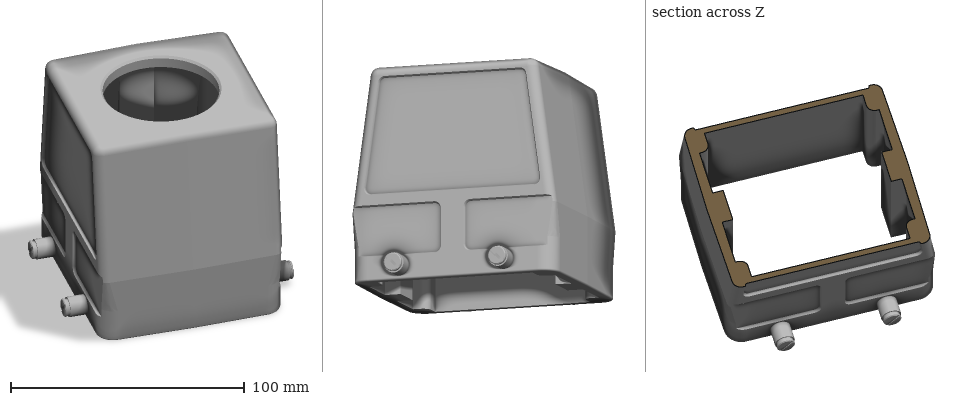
import cadquery as cq
import math

length = 94.0
half_length = length / 2
half_width = 41.2
height = 93.5
knee_z = 30.1
blend_start_z = 15.1
lean_angle = 7.9
crown_angle = 1.0
foot_corner_radius = 7.7
upper_corner_radius = 4.0
roof_flat_half_width = 28.7
base_radius = 0.8

wall = 4.1
roof_thickness = 5.3
inner_face_x = 35.2
column_face_y = 28.2
column_radius = 3.6
rib_half_width = 7.7

entry_diameter = 50.0
entry_chamfer = 0.9

panel_depth = 1.2
panel_draft = 27
panel_corner_radius = 3.0
large_panel_bottom_z = 37.5
large_panel_top_z = 88.9
large_panel_bottom_half_length = 40.4
small_panel_bottom_z = 10.7
small_panel_top_z = 33.0
small_panel_inner_x = 5.2

pin_x = 23.7
pin_z = 5.9
pin_end_y = 51.2
pin_radius = 4.4
pin_neck_radius = 3.8
pin_tip_radius = 4.0
pin_tip_length = 0.9
pin_neck_length = 1.2
pin_root_chamfer = 0.4
pin_tip_chamfer = 0.4
pin_embed = 1.5
slot_angle = 45
slot_width = 1.2
slot_depth = 0.3

selection_margin = 1

lean = math.tan(math.radians(lean_angle))
crown = math.tan(math.radians(crown_angle))
ridge_z = height + roof_flat_half_width * crown


def crowned_outline(z, middle_half_length):
    """Closed horizontal outline: straight long sides and peaked ends."""
    corner_x = middle_half_length - half_width * crown
    points = [
        (middle_half_length, 0),
        (corner_x, half_width),
        (-corner_x, half_width),
        (-middle_half_length, 0),
        (-corner_x, -half_width),
        (corner_x, -half_width),
    ]
    return cq.Wire.makePolygon([cq.Vector(x, y, z) for x, y in points], close=True)


def round_corners(outline, radius):
    corners = [v for v in outline.Vertices() if abs(v.Y) > half_width / 2]
    return outline.fillet2D(radius, corners)


def wall_point(side, y, z):
    """Corner of the upper part on the end wall facing side (-1 or 1) along X."""
    x = half_length - abs(y) * crown - (z - knee_z) * lean
    return cq.Vector(side * x, y, z)


def make_upper_body():
    """Leaning part above the knee, with a ridged roof and all outer edges rounded."""
    eave_z = ridge_z - half_width * crown
    left_middle, right_middle, left_outer, right_outer = [
        (wall_point(side, y, knee_z), wall_point(side, y, top_z))
        for y, top_z in ((0, ridge_z), (half_width, eave_z))
        for side in (-1, 1)
    ]
    loops = [
        left_middle + right_middle[::-1],
        left_outer + right_outer[::-1],
        left_middle + left_outer[::-1],
        right_middle + right_outer[::-1],
        [left_middle[0], right_middle[0], right_outer[0], left_outer[0]],
        [left_middle[1], right_middle[1], right_outer[1], left_outer[1]],
    ]
    faces = [cq.Face.makeFromWires(cq.Wire.makePolygon(loop, close=True)) for loop in loops]
    half = cq.Workplane(cq.Solid.makeSolid(cq.Shell.makeShell(faces)).fix())
    rounded = [
        edge for edge in half.edges().vals()
        if edge.Center().y > selection_margin and edge.Center().z > knee_z + selection_margin
    ]
    half = half.newObject(rounded).fillet(upper_corner_radius)
    return half.union(half.mirror("XZ"))


def make_shell_body():
    upper = make_upper_body()
    knee_outline = upper.faces("<Z").wires().val()
    blend_outline = round_corners(crowned_outline(blend_start_z, half_length), foot_corner_radius)
    foot_outline = round_corners(crowned_outline(0, half_length), foot_corner_radius)
    blend = cq.Workplane(cq.Solid.makeLoft([blend_outline, knee_outline], True))
    foot = cq.Workplane(cq.Solid.makeLoft([foot_outline, blend_outline], True))
    foot = foot.faces("<Z").edges().fillet(base_radius)
    body = foot.union(blend).union(upper)
    ridge_block = cq.Workplane("XY", origin=(0, 0, height)).rect(4 * half_length, 4 * half_width)
    return body.cut(ridge_block.extrude(height))


def make_cavity():
    roof_z = height - roof_thickness
    floor_half_length = half_length - half_width * crown - wall
    roof_half_length = floor_half_length - (roof_z - knee_z) * lean
    profile = [
        (-floor_half_length, 0),
        (floor_half_length, 0),
        (floor_half_length, knee_z),
        (roof_half_length, roof_z),
        (-roof_half_length, roof_z),
        (-floor_half_length, knee_z),
    ]
    inner_half_width = half_width - wall
    cavity = cq.Workplane("XZ").polyline(profile).close().extrude(inner_half_width, both=True)

    depth_x = half_length - inner_face_x
    depth_y = half_width - column_face_y
    for side in (-1, 1):
        rib_x = side * (inner_face_x + depth_x / 2)
        cavity = cavity.cut(
            cq.Workplane("XY").center(rib_x, 0).rect(depth_x, 2 * rib_half_width).extrude(height))
        for end in (-1, 1):
            column = cq.Workplane("XY").center(rib_x, end * (column_face_y + depth_y / 2))
            column = column.rect(depth_x, depth_y).extrude(height)
            column = column.edges("|Z").edges("<X" if side > 0 else ">X")
            column = column.edges("<Y" if end > 0 else ">Y").fillet(column_radius)
            cavity = cavity.cut(column)
    return cavity


def make_cable_entry():
    roof_top = cq.Workplane("XY", origin=(0, 0, height))
    hole = roof_top.circle(entry_diameter / 2).extrude(-roof_thickness)
    flare = roof_top.circle(entry_diameter / 2 + entry_chamfer).extrude(-entry_chamfer, taper=45)
    return hole.union(flare)


def recess(points):
    """Drafted pocket with round corners, cut into the -Y wall."""
    block = cq.Workplane("XZ").polyline(points).close().extrude(panel_depth)
    rounded_outline = block.edges("|Y").fillet(panel_corner_radius).faces("<Y").wires().val()
    mouth = cq.Workplane("XZ", origin=(0, -panel_depth, 0)).add(rounded_outline).toPending()
    pocket = mouth.extrude(-panel_depth, taper=panel_draft)
    return pocket.translate((0, panel_depth - half_width, 0))


def make_panels():
    large_top_half_length = (
        large_panel_bottom_half_length - (large_panel_top_z - large_panel_bottom_z) * lean)
    panels = recess([
        (-large_panel_bottom_half_length, large_panel_bottom_z),
        (large_panel_bottom_half_length, large_panel_bottom_z),
        (large_top_half_length, large_panel_top_z),
        (-large_top_half_length, large_panel_top_z),
    ])
    outer_x = half_length + 2 * panel_corner_radius
    small_panel = recess([
        (small_panel_inner_x, small_panel_bottom_z),
        (outer_x, small_panel_bottom_z),
        (outer_x, small_panel_top_z),
        (small_panel_inner_x, small_panel_top_z),
    ])
    return panels.union(small_panel).union(small_panel.mirror("YZ"))


def make_pin():
    """Locking pin of the -Y wall, centred on X = 0."""
    root_y = half_width
    tip_y = pin_end_y - pin_tip_length
    shoulder_y = tip_y - pin_neck_length
    profile = [
        (0, root_y - pin_embed),
        (pin_radius - pin_root_chamfer, root_y - pin_embed),
        (pin_radius - pin_root_chamfer, root_y),
        (pin_radius, root_y + pin_root_chamfer),
        (pin_radius, shoulder_y),
        (pin_neck_radius, shoulder_y),
        (pin_neck_radius, tip_y),
        (pin_tip_radius, tip_y),
        (pin_tip_radius, pin_end_y - pin_tip_chamfer),
        (pin_tip_radius - pin_tip_chamfer, pin_end_y),
        (0, pin_end_y),
    ]
    pin = cq.Workplane("XY").polyline(profile).close().revolve(360, (0, 0), (0, 1))
    slot = cq.Workplane("XY").box(4 * pin_radius, 2 * slot_depth, slot_width)
    slot = slot.rotate((0, 0, 0), (0, 1, 0), slot_angle).translate((0, pin_end_y, 0))
    return pin.cut(slot).rotate((0, 0, 0), (0, 0, 1), 180).translate((0, 0, pin_z))


panels = make_panels()
pin = make_pin()
result = make_shell_body().cut(make_cavity()).cut(make_cable_entry())
result = result.cut(panels).cut(panels.mirror("XZ"))
for x in (-pin_x, pin_x):
    placed_pin = pin.translate((x, 0, 0))
    result = result.union(placed_pin).union(placed_pin.mirror("XZ"))